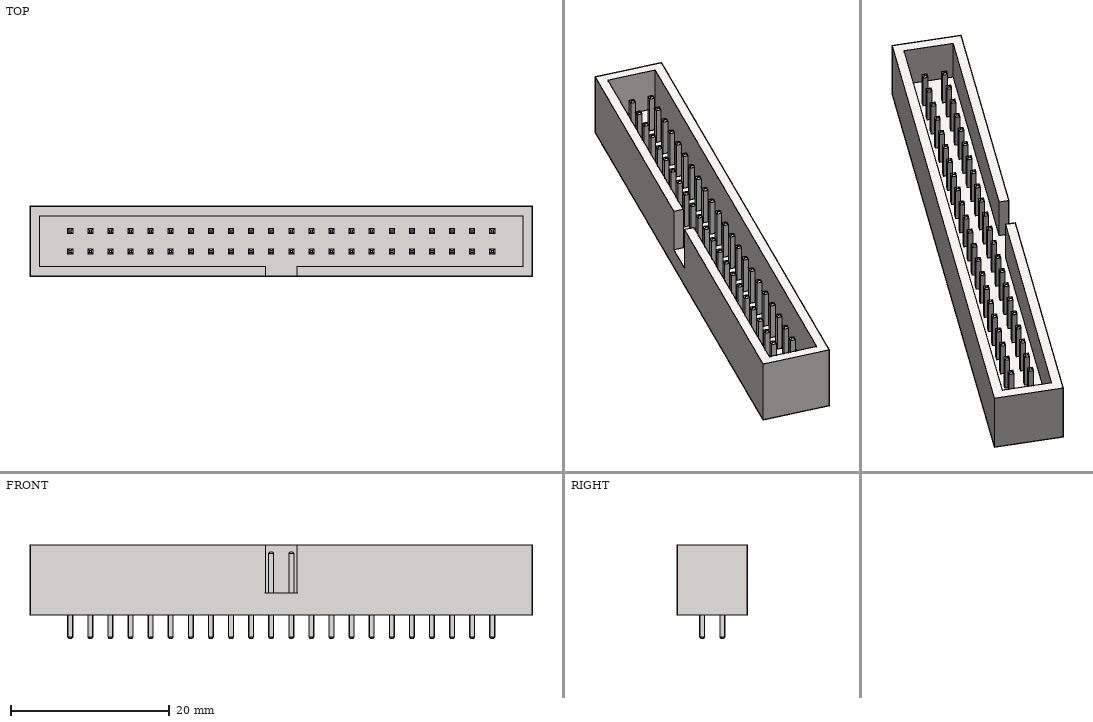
import cadquery as cq

housing_length = 63.5
housing_width = 8.9
housing_height = 8.9

end_wall = 1.2
side_wall = 1.3
cavity_depth = 6.1
cavity_floor = housing_height - cavity_depth

key_slot_width = 4.0

pin_columns = 22
pin_rows = 2
pin_pitch = 2.55
pin_size = 0.65
tip_chamfer = 0.2
pin_top_recess = 0.9
pin_tail = 3.0
pin_bottom = -pin_tail
pin_top = housing_height - pin_top_recess


def make_housing():
    """Box with an open cavity and a key slot through the -Y wall."""
    body = cq.Workplane("XY").box(
        housing_length, housing_width, housing_height, centered=(True, True, False)
    )
    cavity = (
        cq.Workplane("XY")
        .workplane(offset=cavity_floor)
        .rect(housing_length - 2 * end_wall, housing_width - 2 * side_wall)
        .extrude(cavity_depth)
    )
    key_slot = (
        cq.Workplane("XY")
        .workplane(offset=cavity_floor)
        .center(0, -housing_width / 4)
        .rect(key_slot_width, housing_width / 2)
        .extrude(cavity_depth)
    )
    return body.cut(cavity).cut(key_slot)


def make_pins():
    """Grid of square pins, tapered at both tips."""
    pins = (
        cq.Workplane("XY")
        .workplane(offset=pin_bottom)
        .rarray(pin_pitch, pin_pitch, pin_columns, pin_rows)
        .rect(pin_size, pin_size)
        .extrude(pin_top - pin_bottom)
    )
    return pins.faces("<Z or >Z").chamfer(tip_chamfer)


result = make_housing().union(make_pins())